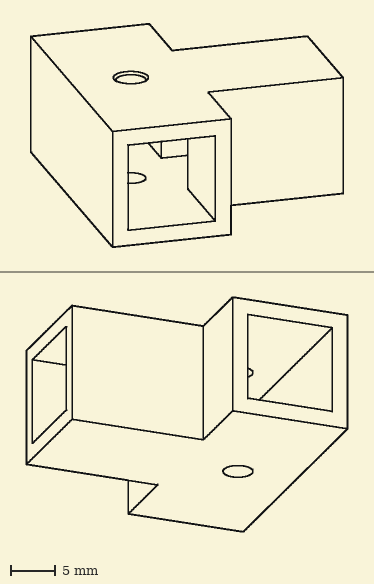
import cadquery as cq

tube_length = 32
tube_size = 14.0
bore_size = 10.3

stem_length = 16

hole_diameter = 3.4
chamfer_size = 0.3

tube = cq.Workplane("XY").box(tube_length, tube_size, tube_size)
stem = (
    cq.Workplane("XZ", origin=(0, tube_size / 2, 0))
    .rect(tube_size, tube_size)
    .extrude(-stem_length)
)
body = tube.union(stem)

tube_bore = cq.Workplane("XY").box(tube_length, bore_size, bore_size)
stem_bore = (
    cq.Workplane("XZ")
    .rect(bore_size, bore_size)
    .extrude(-(tube_size / 2 + stem_length))
)
body = body.cut(tube_bore).cut(stem_bore)

mouth_diameter = hole_diameter + 2 * chamfer_size
screw_hole = cq.Workplane("XY").circle(hole_diameter / 2).extrude(tube_size, both=True)
mouth = (
    cq.Workplane("XY", origin=(0, 0, tube_size / 2))
    .circle(mouth_diameter / 2)
    .workplane(offset=-chamfer_size)
    .circle(hole_diameter / 2)
    .loft()
)
result = body.cut(screw_hole).cut(mouth)